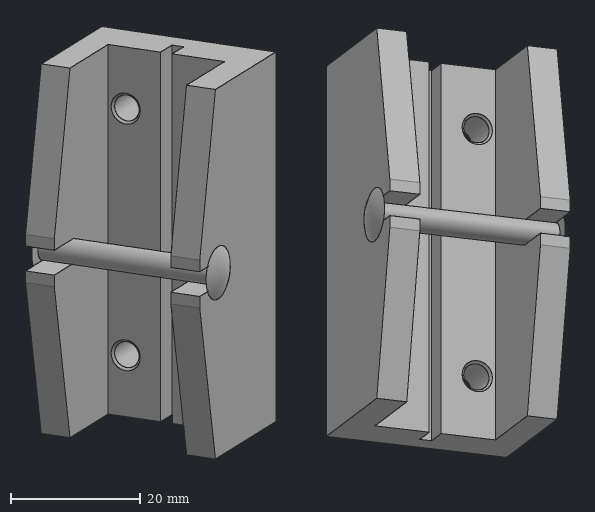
import cadquery as cq
import math

height = 60.0
width = 30.0
depth = 27.0
wall = 5.0
back_thickness = 8.0

nose_height = 7.8
slope_angle = 12.0

groove_width = 2.0
groove_depth = 4.0

hole_diameter = 4.2
hole_chamfer = 0.4
hole_spacing_x = 14.0
hole_spacing_z = 40.0

pin_diameter = 4.0
pin_to_back = 20.5
head_diameter = 8.5
pin_length = 32.35
head_height = (pin_length - width) / 2

pin_y = -pin_to_back
inner_back_y = -back_thickness


def side_profile():
    """Extrude the tapered side outline across the full width."""
    slope_run = (height - nose_height) / 2 * math.tan(math.radians(slope_angle))
    end_y = slope_run - depth
    outline = [
        (0, -height / 2),
        (end_y, -height / 2),
        (-depth, -nose_height / 2),
        (-depth, nose_height / 2),
        (end_y, height / 2),
        (0, height / 2),
    ]
    return cq.Workplane("YZ").polyline(outline).close().extrude(width / 2, both=True)


def channel():
    """Space between the side walls, open to the front and at both ends."""
    return cq.Workplane("XY").box(
        width - 2 * wall, depth - back_thickness, height, centered=(True, False, True)
    ).translate((0, -depth, 0))


def groove():
    """Narrow slot sunk into the inner back face."""
    return cq.Workplane("XY").box(
        groove_width, groove_depth, height, centered=(True, False, True)
    ).translate((0, inner_back_y, 0))


def screw_holes():
    """Four through holes along Y, chamfered where they meet the inner back face."""
    radius = hole_diameter / 2
    mouth_radius = radius + hole_chamfer
    section = [
        (0, 0),
        (mouth_radius, 0),
        (radius, hole_chamfer),
        (radius, back_thickness),
        (0, back_thickness),
    ]
    hole = cq.Workplane("XY").polyline(section).close().revolve(360, (0, 0), (0, 1))
    holes = cq.Workplane("XY")
    for x in (-hole_spacing_x / 2, hole_spacing_x / 2):
        for z in (-hole_spacing_z / 2, hole_spacing_z / 2):
            holes = holes.add(hole.translate((x, inner_back_y, z)))
    return holes.combine()


def pin_slot():
    """Slot through both side walls, open at the front, with a round end that seats the pin."""
    round_end = cq.Workplane("YZ").center(pin_y, 0).circle(pin_diameter / 2).extrude(width / 2, both=True)
    opening = cq.Workplane("XY").box(
        width, depth - pin_to_back, pin_diameter, centered=(True, False, True)
    ).translate((0, -depth, 0))
    return round_end.union(opening)


def make_housing():
    return side_profile().cut(channel()).cut(groove()).cut(screw_holes()).cut(pin_slot())


def make_pin():
    """Turned pin along X: a plain shank between two heads shaped as spherical caps."""
    shank_radius = pin_diameter / 2
    head_radius = head_diameter / 2
    tip_x = pin_length / 2
    dome_radius = (head_radius**2 + head_height**2) / (2 * head_height)
    dome_centre_x = tip_x - dome_radius

    mid_angle = math.asin(head_radius / dome_radius) / 2
    mid_x = dome_centre_x + dome_radius * math.cos(mid_angle)
    mid_y = dome_radius * math.sin(mid_angle)

    section = (
        cq.Workplane("XY")
        .moveTo(-tip_x, 0)
        .threePointArc((-mid_x, mid_y), (-width / 2, head_radius))
        .lineTo(-width / 2, shank_radius)
        .lineTo(width / 2, shank_radius)
        .lineTo(width / 2, head_radius)
        .threePointArc((mid_x, mid_y), (tip_x, 0))
        .close()
    )
    return section.revolve(360, (0, 0), (1, 0)).translate((0, pin_y, 0))


housing = make_housing()
pin = make_pin()

result = cq.Compound.makeCompound([housing.solids().val(), pin.val()])